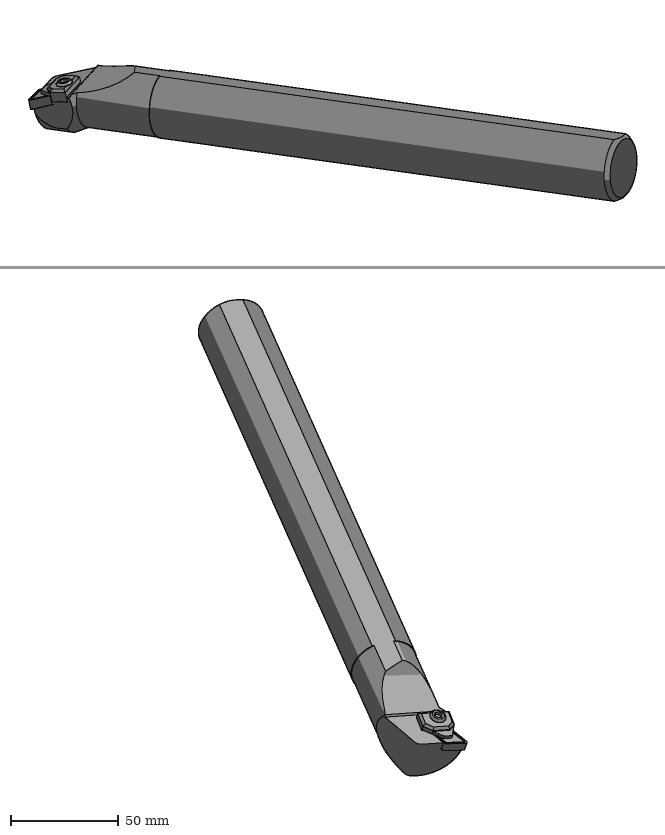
import cadquery as cq
import math


bar_length = 300.0
shank_diameter = 32.0
shank_radius = shank_diameter / 2
flat_height = 15.0
shank_start = 60.3
end_chamfer = 2.0
neck_diameter = 31.5
neck_radius = neck_diameter / 2
neck_start = 22.2

far = 90.0

head_radius = 18.3
head_end = 16.2
head_center_y = shank_radius - head_radius

insert_side = 11.7
insert_angle = 55.0
insert_thickness = 4.8
nose_radius = 0.8
lead_angle = 3.0
overall_width = 38.0
insert_overhang = overall_width - shank_radius
rim_width = 1.0
rim_depth = 0.3

axial_rake = 6.0
radial_rake = 13.0

face_height = -0.3
step_height = 0.75
step_start = 19.0
step_end = 19.5
ramp_radius = 75.0
ramp_angle = 40.0
front_reach = 0.75
bevel_start = 24.0
bevel_angle = 30.0
bevel_round = 4.0
flank_setback = 0.75
trim_margin = 6.0
trim_end = neck_start + trim_margin
side_face = 4.5
side_angle = -6.0
side_round = 6.0

clamp_side = 3.3
clamp_back = 19.2
clamp_left = 9.3
clamp_right = 17.5
clamp_height = 3.5
clamp_chamfer = 1.2
clamp_drop = 2.7
plate_left = 6.3
plate_rear = 15.0
plate_front = 6.5
lip_left = 3.0
lip_front = 6.0
lip_rear = 10.2
lip_height = 1.8
base_corners = [
    (clamp_left, clamp_side),
    (clamp_right, clamp_side),
    (clamp_right, clamp_back),
    (clamp_left, clamp_back),
]
plate_corners = base_corners + [(plate_left, plate_rear), (plate_left, plate_front)]
lip_corners = [
    (lip_left, lip_front),
    (clamp_left, clamp_side),
    (clamp_left, clamp_back),
    (lip_left, lip_rear),
]
screw_u = 13.8
screw_v = 10.5
screw_radius = 4.0
screw_height = 1.2
screw_chamfer = 1.05
socket_radius = 1.8
socket_depth = 1.8

tilt_x = math.tan(math.radians(axial_rake))
tilt_y = math.tan(math.radians(radial_rake))
nose_center = cq.Vector(nose_radius, nose_radius - insert_overhang, 0)
insert_plane = cq.Plane(
    origin=nose_center, xDir=cq.Vector(1, 0, tilt_x), normal=cq.Vector(-tilt_x, -tilt_y, 1)
)


def tilted(height=0.0):
    """A workplane parallel to the insert's top face, at a height above it."""
    return cq.Workplane(insert_plane).workplane(offset=height)


def along(start, angle, distance):
    """The point at a distance from a start point, in a direction given in degrees."""
    turn = math.radians(angle)
    return (start[0] + distance * math.cos(turn), start[1] + distance * math.sin(turn))


long_edge_angle = 90 - lead_angle
short_edge_angle = long_edge_angle - insert_angle
bisector_angle = long_edge_angle - insert_angle / 2
nose_corner = along((0, 0), bisector_angle, -nose_radius / math.sin(math.radians(insert_angle / 2)))
right_corner = along(nose_corner, short_edge_angle, insert_side)
far_corner = along(right_corner, long_edge_angle, insert_side)
left_corner = along(nose_corner, long_edge_angle, insert_side)
insert_corners = [nose_corner, right_corner, far_corner, left_corner]


def insert_blank():
    """Rhombic plate with rounded corners; the head's pocket has the same shape."""
    blank = tilted(-insert_thickness).polyline(insert_corners).close().extrude(insert_thickness)
    edges_across = cq.selectors.ParallelDirSelector(insert_plane.zDir)
    return blank.edges(edges_across).fillet(nose_radius)


def make_insert():
    """Insert with a shallow recess inside the rim of its top face."""
    recess = tilted(-rim_depth).polyline(insert_corners).close().offset2D(-rim_width).extrude(far)
    return insert_blank().cut(recess)


def make_shank():
    """Cylinder with a flat above and below and a chamfer at its +X end."""
    shank = (
        cq.Workplane("YZ", origin=(shank_start, 0, 0))
        .circle(shank_radius)
        .extrude(bar_length - shank_start)
        .faces(">X")
        .chamfer(end_chamfer)
    )
    between_flats = cq.Workplane().box(2 * bar_length, far, 2 * flat_height)
    return shank.intersect(between_flats)


def make_neck_and_head():
    """Neck and larger head joined by a short cone; the shank's upper flat runs on over both."""
    neck = cq.Workplane("YZ", origin=(neck_start, 0, 0)).circle(neck_radius)
    neck = neck.extrude(shank_start - neck_start)
    head = cq.Workplane("YZ", origin=(0, head_center_y, 0)).circle(head_radius).extrude(head_end)
    transition = (
        cq.Workplane("YZ", origin=(head_end, 0, 0))
        .center(head_center_y, 0)
        .circle(head_radius)
        .workplane(offset=neck_start - head_end)
        .center(-head_center_y, 0)
        .circle(neck_radius)
        .loft(ruled=True)
    )
    above_flat = cq.Workplane().box(2 * bar_length, far, far).translate((0, 0, flat_height + far / 2))
    return neck.union(transition).union(head).cut(above_flat)


def chip_space():
    """Space above the head's top face, behind which a step and a curved ramp lead up to the flat."""
    section = cq.Plane(
        origin=nose_center, xDir=insert_plane.xDir, normal=insert_plane.yDir.multiply(-1)
    )
    ramp_center = (step_end, step_height + ramp_radius)
    return (
        cq.Workplane(section)
        .moveTo(-far, face_height)
        .lineTo(step_start, face_height)
        .lineTo(step_end, step_height)
        .threePointArc(
            along(ramp_center, ramp_angle / 2 - 90, ramp_radius),
            along(ramp_center, ramp_angle - 90, ramp_radius),
        )
        .lineTo(step_end + ramp_radius, far)
        .lineTo(-far, far)
        .close()
        .extrude(far, both=True)
    )


def head_outline():
    """Tilted prism that trims the head: front face, rounded bevel, insert flank and side face."""
    flank_point = along(nose_corner, short_edge_angle + 90, flank_setback)
    slope = math.tan(math.radians(short_edge_angle))
    front_corner = (front_reach, flank_point[1] + (front_reach - flank_point[0]) * slope)
    side_corner = (flank_point[0] + (side_face - flank_point[1]) / slope, side_face)
    bevel_corner = (front_reach, bevel_start)
    prism = (
        tilted(-far)
        .polyline(
            [
                front_corner,
                side_corner,
                along(side_corner, side_angle, 2 * far),
                along(bevel_corner, bevel_angle, 2 * far),
                bevel_corner,
            ]
        )
        .close()
        .extrude(2 * far)
    )
    prism = round_corner(prism, bevel_corner, bevel_round)
    return round_corner(prism, side_corner, side_round)


def round_corner(prism, corner, radius):
    """Fillet the tilted upright edge through a corner."""
    point = insert_plane.toWorldCoords((corner[0], corner[1], 0))
    return prism.edges(cq.selectors.NearestToPointSelector(point.toTuple())).fillet(radius)


def top_face(block):
    """The face of a tilted block that lies highest above the insert."""
    return block.faces(cq.selectors.DirectionMinMaxSelector(insert_plane.zDir))


def make_clamp_plate():
    """Chamfered plate with a low lip that reaches over the insert and a base sunk into the head."""
    plate = tilted().polyline(plate_corners).close().extrude(clamp_height)
    plate = top_face(plate).chamfer(clamp_chamfer)
    lip = tilted().polyline(lip_corners).close().extrude(lip_height)
    base = tilted(-clamp_drop).polyline(base_corners).close().extrude(clamp_drop)
    return plate.union(lip).union(base)


def make_clamp():
    """Clamp plate with the chamfered head of its screw and the socket in it."""
    screw_head = tilted(clamp_height).center(screw_u, screw_v).circle(screw_radius).extrude(screw_height)
    screw_head = top_face(screw_head).chamfer(screw_chamfer)
    socket = (
        tilted(clamp_height + screw_height)
        .center(screw_u, screw_v)
        .circle(socket_radius)
        .extrude(-socket_depth)
    )
    return make_clamp_plate().union(screw_head).cut(socket)


def make_holder():
    """Shank, neck, trimmed head and clamp in one body, with the insert's pocket cut out."""
    blank = cq.Workplane("YZ").rect(far, far).extrude(trim_end)
    outside_head = blank.cut(head_outline())
    head = make_neck_and_head().cut(chip_space()).cut(outside_head)
    holder = head.union(make_shank()).union(make_clamp())
    return holder.cut(insert_blank())


holder = make_holder()
insert = make_insert()
result = cq.Compound.makeCompound([*holder.solids().vals(), *insert.solids().vals()])